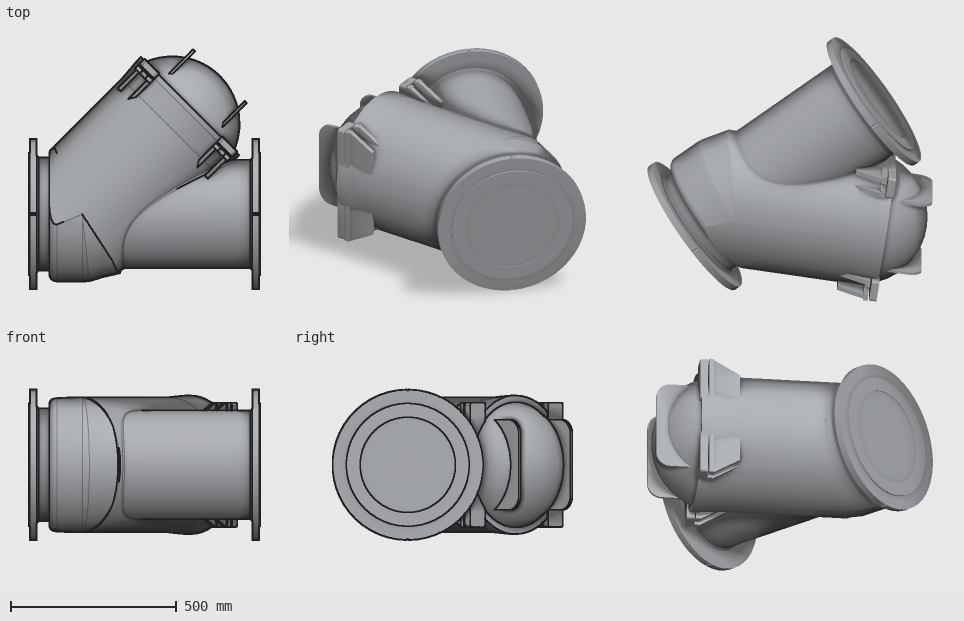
import cadquery as cq
import math

total_length = 700.0
flange_radius = 227.5
flange_thickness = 20.0
raised_face_radius = 185.5
raised_face_height = 4.0
port_radius = 288.0 / 2
port_recess = 2.0
inlet_radius = 342.0 / 2
outlet_radius = 328.0 / 2
weld_size = 6.0
notch_width = 7.0
notch_depth = 3.5

body_radius = 204.0
bulb_start = -288.0
bulb_round = 23.0
cone_tilt = 6.0
cone_half_angle = 8.7
cone_edge_angle = 303
cone_length = 152.0
toe_start = 110.0
toe_tip = 148.5
toe_half_width = 51.0
seam_fillet = 7.0

branch_x = -188.5
branch_angle = 45
branch_back = 580.0
flare_start = 373.0
lid_start = 443.5
lid_top = 461.0
lid_radius = 209.5
dome_center = 385.0

handle_offset = 110.0
handle_thickness = 9.0
handle_end = 588.5
handle_half_height = 136.0
handle_corner = 43.5

ear_inner = 134.0
ear_outer = 198.0
ear_height = 188.0
ear_root = 54.0
lid_ear_start = 442.0
lid_ear_end = 464.5
lid_ear_round = 7.0
body_ear_start = 423.0
body_ear_end = 438.0
slot_width = 23.0
slot_depth = 40.5
rib_thickness = 13.0
rib_end = 344.0
rib_end_height = 142.0
outer_rib_edge = 193.0

half_length = total_length / 2


def cylinder_x(radius, start, end):
    return cq.Workplane("YZ", origin=(start, 0, 0)).circle(radius).extrude(end - start)


def revolve_x(points):
    return cq.Workplane("XY").polyline(points).close().revolve(360, (0, 0, 0), (1, 0, 0))


def flange(pipe_radius):
    """Flange at the -X end, with raised face, shallow port recess, weld and two rim notches."""
    front = -half_length + raised_face_height
    back = front + flange_thickness
    disc = cylinder_x(flange_radius, front, back)
    disc = disc.union(cylinder_x(raised_face_radius, -half_length, front))
    disc = disc.cut(cylinder_x(port_radius, -half_length, -half_length + port_recess))
    for side in (1, -1):
        notch = (
            cq.Workplane("YZ", origin=(front, 0, 0))
            .moveTo(0, side * (flange_radius - notch_depth))
            .lineTo(notch_width / 2, side * flange_radius)
            .lineTo(0, side * (flange_radius + notch_depth))
            .lineTo(-notch_width / 2, side * flange_radius)
            .close()
            .extrude(flange_thickness)
        )
        disc = disc.cut(notch)
    weld = revolve_x([(back, 0), (back, pipe_radius + weld_size), (back + weld_size, pipe_radius),
                      (back + weld_size, 0)])
    return disc.union(weld)


def place_branch(shape):
    """Move a shape built along +X, with its offset along +Y, onto the branch axis."""
    return shape.rotate((0, 0, 0), (0, 0, 1), branch_angle).translate((branch_x, 0, 0))


def shoulder(outer_radius):
    """Round-shouldered profile turned about the run axis; past the round it widens to outer_radius."""
    round_offset = bulb_round * (1 - math.sqrt(0.5))
    return (
        cq.Workplane("XY")
        .moveTo(bulb_start, 0)
        .lineTo(bulb_start, body_radius - bulb_round)
        .threePointArc((bulb_start + round_offset, body_radius - round_offset),
                       (bulb_start + bulb_round, body_radius))
        .lineTo(bulb_start + 2 * bulb_round, outer_radius)
        .lineTo(branch_x, outer_radius)
        .lineTo(branch_x, 0)
        .close()
        .revolve(360, (0, 0, 0), (1, 0, 0))
    )


def sector(start_angle, end_angle):
    """Slice of space around the vertical line where the branch axis meets the run axis."""
    reach = 2 * branch_back
    half_turn = (end_angle - start_angle) / 2
    corners = [(0, 0)]
    for angle in (start_angle, start_angle + half_turn, end_angle):
        turn = math.radians(angle)
        corners.append((reach * math.cos(turn), reach * math.sin(turn)))
    return (
        cq.Workplane("XY", origin=(branch_x, 0, 0))
        .polyline(corners)
        .close()
        .extrude(reach, both=True)
    )


def bend():
    """Thin wedge that turns the drum towards the cone."""
    return (
        cq.Workplane("YZ", origin=(branch_x, 0, 0))
        .moveTo(0, body_radius)
        .threePointArc((-body_radius, 0), (0, -body_radius))
        .close()
        .revolve(cone_tilt, (0, -body_radius, 0), (0, body_radius, 0))
    )


def cone():
    """Tapered underside between the bend and the outlet pipe."""
    small_radius = body_radius - cone_length * math.tan(math.radians(cone_half_angle))
    whole = (
        revolve_x([(0, 0), (0, body_radius), (cone_length, small_radius), (cone_length, 0)])
        .rotate((0, 0, 0), (0, 0, 1), cone_tilt)
        .translate((branch_x, 0, 0))
    )
    return whole.intersect(sector(270 + cone_tilt, cone_edge_angle))


def toe(underside):
    """Pointed end of the cone that reaches past the branch tube onto the outlet pipe."""
    base = branch_x + toe_start
    prism = (
        cq.Workplane("XZ")
        .polyline([(base, toe_half_width), (branch_x + toe_tip, 0), (base, -toe_half_width)])
        .close()
        .extrude(2 * body_radius)
    )
    return underside.intersect(prism)


def branch_tube():
    return place_branch(cylinder_x(body_radius, -branch_back, lid_start))


def outlet_pipe():
    return cylinder_x(outlet_radius, branch_x + toe_start, half_length - raised_face_height)


def blended_tube():
    """Lid side of the branch tube, with a small fillet along its seam with the outlet pipe."""
    joined = branch_tube().union(outlet_pipe())
    seam = joined.edges("%BSPLINE")
    return seam.fillet(seam_fillet).intersect(sector(cone_edge_angle - 360, 90 + branch_angle / 2))


def body():
    """Branch tube mitered into the inlet drum, with the cone trimmed to the tube on the outlet side."""
    tube = branch_tube()
    drum_miter = 180 + branch_angle / 2
    back = tube.intersect(sector(90 + branch_angle / 2, drum_miter)).intersect(shoulder(2 * body_radius))
    drum = shoulder(body_radius).intersect(sector(drum_miter, 270))
    underside = cone()
    return (
        blended_tube()
        .union(back)
        .union(drum)
        .union(bend())
        .union(underside.intersect(tube))
        .union(toe(underside))
        .union(outlet_pipe())
    )


def lid():
    """Flared mouth that begins inside the tube, lid rim and a dome that is part of a ball."""
    hidden_start = 2 * flare_start - lid_start
    hidden_radius = 2 * body_radius - lid_radius
    dome_base = math.sqrt(body_radius**2 - (lid_top - dome_center)**2)
    dome_angle = math.atan2(dome_base, lid_top - dome_center) / 2
    return (
        cq.Workplane("XY")
        .moveTo(hidden_start, 0)
        .lineTo(hidden_start, hidden_radius)
        .lineTo(lid_start, lid_radius)
        .lineTo(lid_top, lid_radius)
        .lineTo(lid_top, dome_base)
        .threePointArc((dome_center + body_radius * math.cos(dome_angle), body_radius * math.sin(dome_angle)),
                       (dome_center + body_radius, 0))
        .close()
        .revolve(360, (0, 0, 0), (1, 0, 0))
    )


def handle():
    return (
        cq.Workplane("XZ", origin=(0, handle_offset + handle_thickness / 2, 0))
        .moveTo((dome_center + handle_end) / 2, 0)
        .rect(handle_end - dome_center, 2 * handle_half_height)
        .extrude(handle_thickness)
        .edges(">X and |Y")
        .fillet(handle_corner)
    )


def rib(edge):
    """Gusset behind an ear; edge is the side of it farther from the branch axis."""
    return (
        cq.Workplane("XZ", origin=(0, edge, 0))
        .polyline([(rib_end, 0), (rib_end, rib_end_height), (body_ear_start, ear_height), (body_ear_start, 0)])
        .close()
        .extrude(rib_thickness)
    )


def ear_block(start, end):
    return cq.Workplane("XY").box(end - start, ear_outer - ear_inner, ear_height - ear_root,
                                  centered=False).translate((start, ear_inner, ear_root))


def clamp():
    """Lid ear over a slotted body ear carried by two ribs."""
    lid_ear = ear_block(lid_ear_start, lid_ear_end).edges(">Z and |X").fillet(lid_ear_round)
    body_ear = ear_block(body_ear_start, body_ear_end)
    slot_radius = slot_width / 2
    slot_center = (ear_inner + ear_outer) / 2
    slot_floor = ear_height - slot_depth
    slot = (
        cq.Workplane("YZ", origin=(body_ear_start, 0, 0))
        .moveTo(slot_center - slot_radius, ear_height)
        .lineTo(slot_center - slot_radius, slot_floor + slot_radius)
        .threePointArc((slot_center, slot_floor), (slot_center + slot_radius, slot_floor + slot_radius))
        .lineTo(slot_center + slot_radius, ear_height)
        .close()
        .extrude(body_ear_end - body_ear_start)
    )
    ear = lid_ear.union(body_ear.cut(slot))
    for edge in (outer_rib_edge, ear_inner + rib_thickness):
        ear = ear.union(rib(edge))
    return ear


one_clamp = clamp()
clamp_pair = one_clamp.union(one_clamp.mirror("XY"))
one_side = handle().union(clamp_pair)
lid_assembly = lid().union(one_side).union(one_side.mirror("XZ"))

inlet_neck = cylinder_x(inlet_radius, -half_length + raised_face_height, bulb_start + bulb_round)

result = (
    body()
    .union(inlet_neck)
    .union(place_branch(lid_assembly))
    .union(flange(inlet_radius))
    .union(flange(outlet_radius).mirror("YZ"))
)